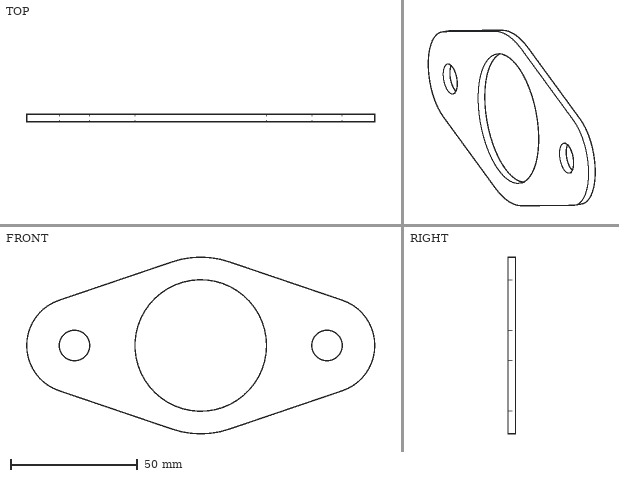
import cadquery as cq
import math

length = 137.9
height = 70.0
thickness = 3.0
bolt_spacing = 100.0
bolt_hole_diameter = 12.0
bore_diameter = 52.0

bolt_x = bolt_spacing / 2
hub_radius = height / 2
end_radius = length / 2 - bolt_x

flank_angle = math.asin((hub_radius - end_radius) / bolt_x)
hub_x = hub_radius * math.sin(flank_angle)
hub_z = hub_radius * math.cos(flank_angle)
end_x = bolt_x + end_radius * math.sin(flank_angle)
end_z = end_radius * math.cos(flank_angle)

front_origin = (0, -thickness / 2, 0)

plate = (
    cq.Workplane("XZ", origin=front_origin)
    .moveTo(-hub_x, hub_z)
    .threePointArc((0, hub_radius), (hub_x, hub_z))
    .lineTo(end_x, end_z)
    .threePointArc((length / 2, 0), (end_x, -end_z))
    .lineTo(hub_x, -hub_z)
    .threePointArc((0, -hub_radius), (-hub_x, -hub_z))
    .lineTo(-end_x, -end_z)
    .threePointArc((-length / 2, 0), (-end_x, end_z))
    .close()
    .extrude(-thickness)
)

bore = cq.Workplane("XZ", origin=front_origin).circle(bore_diameter / 2).extrude(-thickness)
bolt_holes = (
    cq.Workplane("XZ", origin=front_origin)
    .pushPoints([(-bolt_x, 0), (bolt_x, 0)])
    .circle(bolt_hole_diameter / 2)
    .extrude(-thickness)
)

result = plate.cut(bore).cut(bolt_holes)